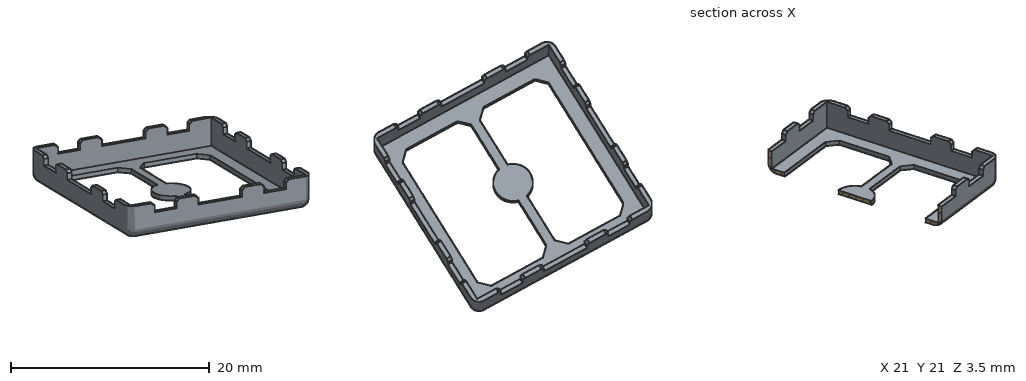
import cadquery as cq

side = 21.0
height = 3.5
corner_radius = 1.0
bottom_radius = 1.0
wall = 0.5
floor_thickness = 0.5

rim_width = 2.0
bar_width = 1.0
window_chamfer = 1.0
disc_diameter = 4.0
window_length = side - 2 * rim_width
window_width = (window_length - bar_width) / 2
window_offset = (window_width + bar_width) / 2

notch_depth = 1.0
notch_chamfer = 0.3
outer_notch_width = 2.5
middle_notch_width = 5.0
tab_width = 2.5
outer_notch_offset = middle_notch_width / 2 + tab_width + outer_notch_width / 2
notches = [
    (-outer_notch_offset, outer_notch_width),
    (0, middle_notch_width),
    (outer_notch_offset, outer_notch_width),
]


def make_tray():
    """Square open-topped tray, rounded outside and sharp-cornered inside."""
    body = (
        cq.Workplane("XY")
        .rect(side, side)
        .extrude(height)
        .edges("|Z")
        .fillet(corner_radius)
        .faces("<Z")
        .edges()
        .fillet(bottom_radius)
    )
    inner_side = side - 2 * wall
    cavity = (
        cq.Workplane("XY", origin=(0, 0, floor_thickness))
        .rect(inner_side, inner_side)
        .extrude(height)
    )
    return body.cut(cavity)


def make_windows():
    """Two chamfered floor openings that leave the central disc in place."""
    windows = (
        cq.Workplane("XY")
        .pushPoints([(0, -window_offset), (0, window_offset)])
        .rect(window_length, window_width)
        .extrude(floor_thickness)
        .edges("|Z")
        .chamfer(window_chamfer)
    )
    disc = cq.Workplane("XY").circle(disc_diameter / 2).extrude(floor_thickness)
    return windows.cut(disc)


def make_notch(center, width):
    """Notch with a chamfered mouth, running along Y through both opposite walls."""
    half_width = width / 2
    mouth_half_width = half_width + notch_chamfer
    bottom = height - notch_depth
    chamfer_start = height - notch_chamfer
    return (
        cq.Workplane("XZ")
        .polyline([
            (center - half_width, bottom),
            (center + half_width, bottom),
            (center + half_width, chamfer_start),
            (center + mouth_half_width, height),
            (center - mouth_half_width, height),
            (center - half_width, chamfer_start),
        ])
        .close()
        .extrude(side / 2, both=True)
    )


result = make_tray().cut(make_windows())
for notch_center, notch_width in notches:
    notch = make_notch(notch_center, notch_width)
    quarter_turn = notch.rotate((0, 0, 0), (0, 0, 1), 90)
    result = result.cut(notch).cut(quarter_turn)